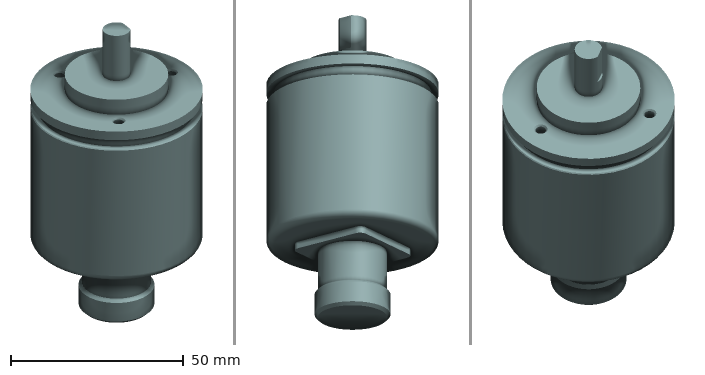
import cadquery as cq

total_height = 92
connector_nut_height = 8.0
plate_bottom = 20.0
body_bottom = 22.0
body_top = 66.0
flange_bottom = 69.2
flange_top = 72.0
pilot_top = 77.0

body_diameter = 50.0
groove_diameter = 45.8
pilot_diameter = 30.0
shaft_diameter = 8.0
neck_diameter = 20.1
connector_nut_diameter = 22.0

body_fillet = 2.0
body_top_chamfer = 0.3
connector_nut_chamfer = 0.9

plate_width = 25.1
plate_corner_radius = 2.1

flat_length = 10.0
flat_depth = 0.55

hole_count = 3
hole_circle_radius = 18.6
hole_diameter = 3.0
countersink_diameter = 4.0
countersink_angle = 90
hole_depth = 9.2


def cylinder(diameter, bottom, top):
    """Cylinder on the Z axis between two heights."""
    return cq.Workplane("XY").workplane(offset=bottom).circle(diameter / 2).extrude(top - bottom)


def make_housing():
    body = cylinder(body_diameter, body_bottom, body_top)
    body = body.faces("<Z").edges().fillet(body_fillet)
    body = body.faces(">Z").edges().chamfer(body_top_chamfer)
    groove = cylinder(groove_diameter, body_top, flange_bottom)
    flange = cylinder(body_diameter, flange_bottom, flange_top)
    pilot = cylinder(pilot_diameter, flange_top, pilot_top)
    return body.union(groove).union(flange).union(pilot)


def make_shaft():
    shaft = cylinder(shaft_diameter, pilot_top, total_height)
    flat_cutter = (
        cq.Workplane("XY")
        .workplane(offset=total_height - flat_length)
        .center(0, shaft_diameter - flat_depth)
        .rect(shaft_diameter, shaft_diameter)
        .extrude(flat_length)
    )
    return shaft.cut(flat_cutter)


def make_connector():
    plate = (
        cq.Workplane("XY")
        .workplane(offset=plate_bottom)
        .rect(plate_width, plate_width)
        .extrude(body_bottom - plate_bottom)
        .edges("|Z")
        .fillet(plate_corner_radius)
    )
    neck = cylinder(neck_diameter, connector_nut_height, plate_bottom)
    nut = cylinder(connector_nut_diameter, 0, connector_nut_height)
    nut = nut.faces("<Z or >Z").edges().chamfer(connector_nut_chamfer)
    return plate.union(neck).union(nut)


def drill_mounting_holes(part):
    return (
        part.copyWorkplane(cq.Workplane("XY", origin=(0, 0, flange_top)))
        .polarArray(hole_circle_radius, 90, 360, hole_count)
        .cskHole(hole_diameter, countersink_diameter, countersink_angle, hole_depth)
    )


encoder = make_housing().union(make_shaft()).union(make_connector())
result = drill_mounting_holes(encoder)